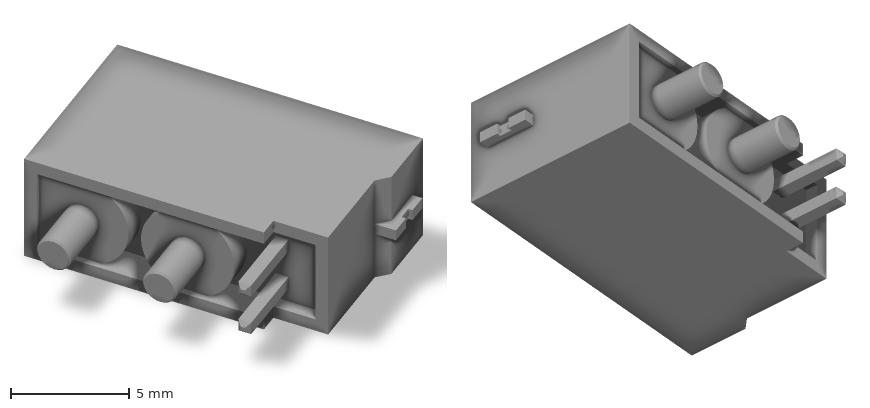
import cadquery as cq


length = 14.45
depth = 8.8
height = 5.2
wall = 0.6
side_step = 0.53
step_from_back = 3.5
notch_start = 11.33
notch_depth = 0.9

front_length = length - side_step
cavity_length = front_length - 2 * wall
cavity_height = height - 2 * wall
cavity_depth = 1.5

tower_radius = 2.2
tower_setback = 0.3
contact_x = 2.57
contact_pitch = 5.0
contact_xs = [contact_x, contact_x + contact_pitch]

collar_diameter = 2.5
pin_diameter = 1.61
pin_end = 2.4
pin_chamfer = 0.1

signal_x = 11.44
signal_pitch = 2.0
signal_width = 0.6
signal_end = 2.22
signal_chamfer = 0.2

left_tab_reach = 0.57
right_tab_reach = 0.48
tab_height = 0.53
tab_from_back = 1.0
tab_length = step_from_back - tab_from_back
tab_notch_length = 0.62
tab_notch_depth = 0.2


def front_cylinder(x, diameter, back_y, front_y):
    """Cylinder along Y, centred at height zero, from back_y forward to front_y."""
    return (
        cq.Workplane("XZ", origin=(x, back_y, 0))
        .circle(diameter / 2)
        .extrude(back_y - front_y)
    )


def box(x0, x1, y0, y1, z_size):
    """Box between two X and two Y limits, centred at height zero."""
    return (
        cq.Workplane("XY")
        .box(x1 - x0, y1 - y0, z_size, centered=(False, False, True))
        .translate((x0, y0, 0))
    )


def make_block():
    """Stepped and notched outer block."""
    slope_front = depth - step_from_back
    return (
        cq.Workplane("XY", origin=(0, 0, -height / 2))
        .moveTo(0, 0)
        .lineTo(notch_start, 0)
        .lineTo(notch_start, notch_depth)
        .lineTo(front_length, notch_depth)
        .lineTo(front_length, slope_front)
        .lineTo(length, slope_front + side_step)
        .lineTo(length, depth)
        .lineTo(0, depth)
        .close()
        .extrude(height)
    )


def make_cavity():
    """Space inside the front rim, leaving the two towers standing."""
    cavity = box(wall, wall + cavity_length, 0, cavity_depth, cavity_height)
    for x in contact_xs:
        cavity = cavity.cut(front_cylinder(x, 2 * tower_radius, cavity_depth, tower_setback))
    return cavity.cut(box(wall, contact_x, tower_setback, cavity_depth, cavity_height))


def make_tab(side_x, reach):
    """Latch tab from inside the block to `reach` beyond side_x; a negative reach points left."""
    direction = 1 if reach > 0 else -1
    root_x = side_x - direction * side_step
    tip_x = side_x + reach
    back_y = depth - tab_from_back
    tab = box(min(root_x, tip_x), max(root_x, tip_x), back_y - tab_length, back_y, tab_height)
    notch_centre = back_y - tab_length / 2
    notch = cq.Workplane("XY").box(2 * tab_notch_depth, tab_notch_length, tab_height)
    return tab.cut(notch.translate((tip_x, notch_centre, 0)))


def make_signal_pin(z):
    """Square pin rising from the cavity floor."""
    return (
        cq.Workplane("XZ", origin=(signal_x, cavity_depth, z))
        .rect(signal_width, signal_width)
        .extrude(cavity_depth + signal_end)
        .faces("<Y")
        .chamfer(signal_chamfer)
    )


def make_housing():
    housing = make_block().cut(make_cavity())
    housing = housing.union(make_tab(0, -left_tab_reach))
    housing = housing.union(make_tab(length, right_tab_reach))
    for z in (-signal_pitch / 2, signal_pitch / 2):
        housing = housing.union(make_signal_pin(z))
    for x in contact_xs:
        housing = housing.cut(front_cylinder(x, collar_diameter, cavity_depth, tower_setback))
    return housing


def make_contact(x):
    """Power contact: a collar flush with its tower face and a chamfered round pin."""
    collar = front_cylinder(x, collar_diameter, cavity_depth, tower_setback)
    pin = front_cylinder(x, pin_diameter, tower_setback, -pin_end).faces("<Y").chamfer(pin_chamfer)
    return collar.union(pin)


housing = make_housing()
contacts = [make_contact(x).solids().val() for x in contact_xs]

result = cq.Compound.makeCompound([housing.solids().val(), *contacts])